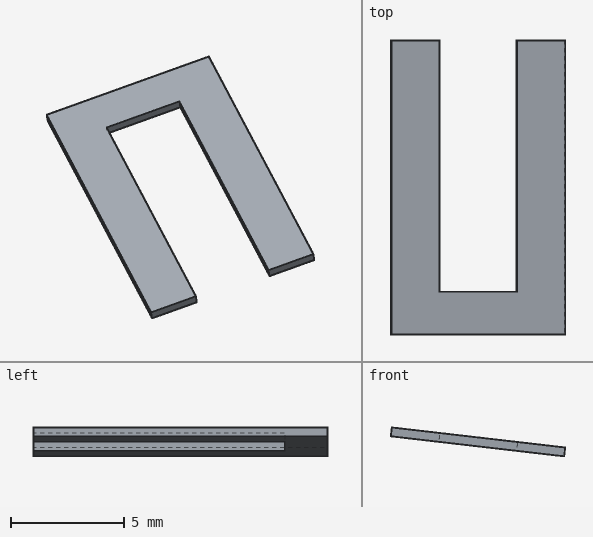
import cadquery as cq

length = 12.99
width = 7.72
thickness = 0.4
leg_width = 2.13
bridge_depth = 1.9
tilt_angle = 6.6

slot_width = width - 2 * leg_width
slot_length = length - bridge_depth

plate = cq.Workplane("XY").box(width, length, thickness)

slot = (
    cq.Workplane("XY")
    .box(slot_width, slot_length, thickness)
    .translate((0, bridge_depth / 2, 0))
)

result = plate.cut(slot).rotate((0, 0, 0), (0, 1, 0), tilt_angle)